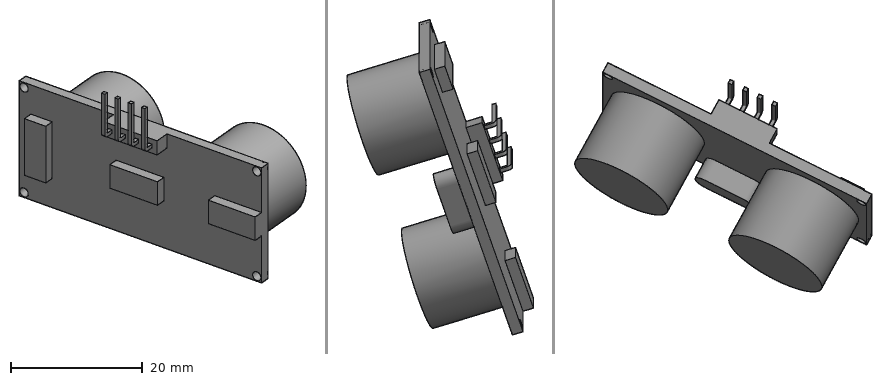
import cadquery as cq


board_length = 45.3
board_height = 20.25
board_thickness = 1.7
hole_diameter = 1.55
hole_inset = 0.9

can_diameter = 16.0
can_length = 12.0
can_spacing = 26.45
can_center_x = 22.6

crystal_length = 10.0
crystal_width = 3.6
crystal_depth = 3.55
crystal_bottom = 0.95

chip_thickness = 1.68
side_chip_left = 2.17
side_chip_width = 4.0
side_chip_height = 9.95
center_chip_left = 18.1
center_chip_width = 8.92
end_chip_width = 8.75
flat_chip_bottom = 8.3
flat_chip_height = 4.1

header_center_x = 22.6
header_length = 10.0
header_height = 2.5
header_depth = 2.6
pin_count = 4
pin_pitch = 2.5
pin_size = 0.65
pin_reach = 1.85
pin_rise = 6.2
pin_drop = 1.55
bend_inner_radius = 0.1

mid_height = board_height / 2
board_back = board_thickness


def block(left, bottom, width, height, depth):
    """Box standing out from the component face towards -Y."""
    return cq.Workplane("XY").box(width, depth, height, centered=False).translate((left, -depth, bottom))


def back_plane(x, z):
    """Sketch plane on the back of the board, facing +Y, centred at the given point."""
    return cq.Workplane(cq.Plane(origin=(x, board_back, z), xDir=(1, 0, 0), normal=(0, 1, 0)))


def make_board():
    board = cq.Workplane("XY").box(board_length, board_thickness, board_height, centered=False)
    hole_points = [
        (x, -z)
        for x in (hole_inset, board_length - hole_inset)
        for z in (hole_inset, board_height - hole_inset)
    ]
    holes = back_plane(0, 0).pushPoints(hole_points).circle(hole_diameter / 2).extrude(-board_thickness)
    return board.cut(holes)


def make_can(x):
    return back_plane(x, mid_height).circle(can_diameter / 2).extrude(can_length)


def make_crystal():
    center_z = crystal_bottom + crystal_width / 2
    return back_plane(header_center_x, center_z).slot2D(crystal_length, crystal_width).extrude(crystal_depth)


def make_pin(x):
    """Square pin that leaves the header towards -Y and bends up to +Z."""
    outer_y = -header_depth - pin_reach
    inner_y = outer_y + pin_size
    bottom_z = board_height - pin_drop
    upper_z = bottom_z + pin_size
    outer_radius = bend_inner_radius + pin_size
    bend_y = outer_y + outer_radius
    bend_z = bottom_z + outer_radius
    diagonal = 0.5 ** 0.5
    outer_mid = (bend_y - outer_radius * diagonal, bend_z - outer_radius * diagonal)
    inner_mid = (bend_y - bend_inner_radius * diagonal, bend_z - bend_inner_radius * diagonal)
    return (
        cq.Workplane("YZ", origin=(x, 0, 0))
        .moveTo(-header_depth, bottom_z)
        .lineTo(bend_y, bottom_z)
        .threePointArc(outer_mid, (outer_y, bend_z))
        .lineTo(outer_y, board_height + pin_rise)
        .lineTo(inner_y, board_height + pin_rise)
        .lineTo(inner_y, bend_z)
        .threePointArc(inner_mid, (bend_y, upper_z))
        .lineTo(-header_depth, upper_z)
        .close()
        .extrude(pin_size / 2, both=True)
    )


def make_header():
    header = block(
        header_center_x - header_length / 2,
        board_height - header_height,
        header_length,
        header_height,
        header_depth,
    )
    for index in range(pin_count):
        offset = (index - (pin_count - 1) / 2) * pin_pitch
        header = header.union(make_pin(header_center_x + offset))
    return header


side_chip_bottom = mid_height - side_chip_height / 2
end_chip_left = board_length - end_chip_width

result = make_board()
for side in (-1, 1):
    result = result.union(make_can(can_center_x + side * can_spacing / 2))
result = result.union(make_crystal())
result = result.union(block(side_chip_left, side_chip_bottom, side_chip_width, side_chip_height, chip_thickness))
result = result.union(block(center_chip_left, flat_chip_bottom, center_chip_width, flat_chip_height, chip_thickness))
result = result.union(block(end_chip_left, flat_chip_bottom, end_chip_width, flat_chip_height, chip_thickness))
result = result.union(make_header())